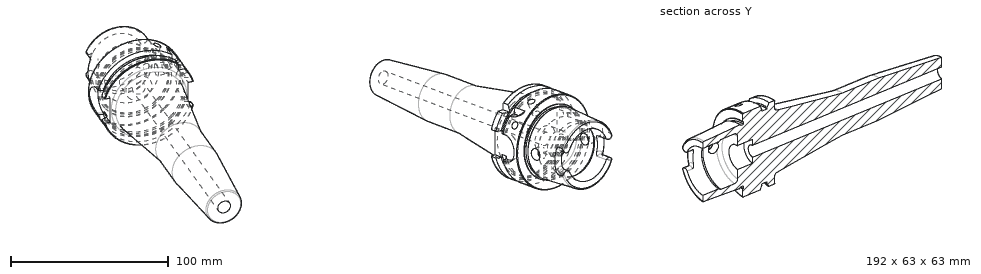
import cadquery as cq
import math


shank_end_x = -32.0
flange_end_x = 26.0
straight_start_x = 80.0
straight_end_x = 109.4
nose_end_x = 160.0

shank_gauge_radius = 24.1
shank_end_radius = 22.7
shank_edge_fillet = 0.9
relief_start_x = -2.3
relief_floor_x = -1.2
relief_radius = 23.2
face_groove_radius = 25.0
face_groove_depth = 0.6

flange_radius = 31.5
flange_edge_chamfer = 0.5
groove_floor_radius = 27.4
groove_knee_radius = 28.6
groove_start_x = 14.5
groove_floor_start_x = 15.7
groove_floor_end_x = 19.6
groove_end_x = 21.2

neck_radius = 23.5
neck_fillet = 2.1
straight_radius = 16.0
nose_tip_radius = 12.0
nose_edge_fillet = 0.8

mouth_radius = 17.4
mouth_end_x = -19.3
cavity_radius = 18.5
cavity_cone_angle = 30.0
cavity_floor_x = -4.0
cavity_floor_fillet = 2.5
seat_radius = 8.8
seat_depth = 12.0
bore_radius = 4.3
cross_hole_x = -9.0
cross_hole_radius = 3.85

drive_slot_half_width = 6.1
drive_slot_lip_radius = 2.85
drive_slot_lip_pitch_radius = 20.15
drive_slot_corner_fillet = 1.5
drive_slot_end_front_x = -22.1
drive_slot_end_back_x = -26.2
drive_slot_runout = 4.2
drive_slot_inner_y = 12.0

keyway_half_width = 9.0
keyway_end_x = 4.8
keyway_end_lean = 18.0
keyway_floor_y = 26.5

notch_wall_offset = 19.8
notch_cutter_radius = 8.0
notch_center_x = 12.7

balance_hole_x = 6.9
balance_hole_radius = 2.4
balance_hole_depth = 10.0
balance_hole_angles = (24.2, 59.0)

clearance = 10.0


def revolve_about_x(profile):
    return profile.close().revolve(360, (0, 0, 0), (1, 0, 0))


def outer_body():
    profile = (
        cq.Workplane("XY")
        .moveTo(shank_end_x, 0)
        .lineTo(shank_end_x, shank_end_radius)
        .lineTo(relief_start_x, shank_gauge_radius)
        .lineTo(relief_floor_x, relief_radius)
        .lineTo(face_groove_depth, relief_radius)
        .lineTo(face_groove_depth, face_groove_radius)
        .lineTo(0, face_groove_radius)
        .lineTo(0, flange_radius - flange_edge_chamfer)
        .lineTo(flange_edge_chamfer, flange_radius)
        .lineTo(groove_start_x, flange_radius)
        .lineTo(groove_floor_start_x, groove_knee_radius)
        .lineTo(groove_floor_start_x, groove_floor_radius)
        .lineTo(groove_floor_end_x, groove_floor_radius)
        .lineTo(groove_floor_end_x, groove_knee_radius)
        .lineTo(groove_end_x, flange_radius)
        .lineTo(flange_end_x - flange_edge_chamfer, flange_radius)
        .lineTo(flange_end_x, flange_radius - flange_edge_chamfer)
        .lineTo(flange_end_x, neck_radius + neck_fillet)
        .radiusArc((flange_end_x + neck_fillet, neck_radius), -neck_fillet)
        .lineTo(straight_start_x, straight_radius)
        .lineTo(straight_end_x, straight_radius)
        .lineTo(nose_end_x, nose_tip_radius)
        .lineTo(nose_end_x, 0)
    )
    body = revolve_about_x(profile)
    body = body.faces("<X").edges().fillet(shank_edge_fillet)
    return body.faces(">X").edges().fillet(nose_edge_fillet)


def inner_cavity():
    cone_length = (cavity_radius - mouth_radius) / math.tan(math.radians(cavity_cone_angle))
    floor_corner_radius = cavity_radius - cavity_floor_fillet
    profile = (
        cq.Workplane("XY")
        .moveTo(shank_end_x, 0)
        .lineTo(shank_end_x, mouth_radius)
        .lineTo(mouth_end_x, mouth_radius)
        .lineTo(mouth_end_x + cone_length, cavity_radius)
        .lineTo(cavity_floor_x - cavity_floor_fillet, cavity_radius)
        .radiusArc((cavity_floor_x, floor_corner_radius), cavity_floor_fillet)
        .lineTo(cavity_floor_x, seat_radius)
        .lineTo(cavity_floor_x + seat_depth, seat_radius)
        .lineTo(cavity_floor_x + seat_depth, bore_radius)
        .lineTo(nose_end_x, bore_radius)
        .lineTo(nose_end_x, 0)
    )
    return revolve_about_x(profile)


def cross_hole():
    return (
        cq.Workplane("XZ")
        .center(cross_hole_x, 0)
        .circle(cross_hole_radius)
        .extrude(flange_radius, both=True)
    )


def drive_slot(end_x):
    """Slot cutter on the +Y side; its flanks curl around the fully rounded lips of the wall."""
    lip_z = drive_slot_half_width + drive_slot_lip_radius
    lip_y = math.sqrt(drive_slot_lip_pitch_radius**2 - lip_z**2)
    radial_y = lip_y / drive_slot_lip_pitch_radius
    radial_z = lip_z / drive_slot_lip_pitch_radius

    def near_lip(outward, around):
        """Point offset from the lip centre along the radius and around the axis."""
        y = lip_y + outward * radial_y - around * radial_z
        z = lip_z + outward * radial_z + around * radial_y
        return y, z

    inner_tangent = near_lip(-drive_slot_lip_radius, 0)
    inner_end = (drive_slot_inner_y, inner_tangent[1])
    lip_tip = near_lip(0, -drive_slot_lip_radius)
    outer_tangent = near_lip(drive_slot_lip_radius, 0)
    outer_end = near_lip(drive_slot_lip_radius, drive_slot_runout)
    top_corner = (shank_gauge_radius + clearance, outer_end[1])

    def other_flank(point):
        return point[0], -point[1]

    cutter = (
        cq.Workplane("YZ", origin=(end_x, 0, 0))
        .moveTo(*inner_end)
        .lineTo(*inner_tangent)
        .threePointArc(lip_tip, outer_tangent)
        .lineTo(*outer_end)
        .lineTo(*top_corner)
        .lineTo(*other_flank(top_corner))
        .lineTo(*other_flank(outer_end))
        .lineTo(*other_flank(outer_tangent))
        .threePointArc(other_flank(lip_tip), other_flank(inner_tangent))
        .lineTo(*other_flank(inner_end))
        .close()
        .extrude(shank_end_x - clearance - end_x)
    )
    flank_edges = cutter.faces(">X").edges("not |Z")
    return flank_edges.fillet(drive_slot_corner_fillet)


def keyway():
    """Keyway cutter on the +Y side: flat floor, leaning round end, open towards the nose."""
    center_x = keyway_end_x + keyway_half_width
    height = flange_radius - keyway_floor_y + clearance
    top_y = keyway_floor_y + height
    lean_shift = height * math.tan(math.radians(keyway_end_lean))
    round_end = (
        cq.Workplane("XZ", origin=(center_x, keyway_floor_y, 0))
        .circle(keyway_half_width)
        .extrude(2 * height, both=True)
        .rotate((center_x, keyway_floor_y, 0), (center_x, keyway_floor_y, 1), keyway_end_lean)
    )
    channel = (
        cq.Workplane("XY")
        .moveTo(center_x, keyway_floor_y)
        .lineTo(flange_end_x, keyway_floor_y)
        .lineTo(flange_end_x, top_y)
        .lineTo(center_x - lean_shift, top_y)
        .close()
        .extrude(keyway_half_width, both=True)
    )
    above_floor = (
        cq.Workplane("XZ", origin=(center_x, keyway_floor_y, 0))
        .rect(2 * flange_radius, 2 * flange_radius)
        .extrude(-height)
    )
    return round_end.intersect(above_floor).union(channel)


def orientation_notch():
    center_z = notch_wall_offset + notch_cutter_radius
    length = flange_end_x - notch_center_x
    plane = cq.Workplane("XZ", origin=(notch_center_x, notch_wall_offset, center_z))
    round_end = plane.circle(notch_cutter_radius).extrude(-flange_radius)
    channel = plane.center(length / 2, 0).rect(length, 2 * notch_cutter_radius).extrude(-flange_radius)
    return round_end.union(channel)


def balance_hole(angle):
    """Blind radial hole, tilted by the angle from +Z towards +Y."""
    bottom = flange_radius - balance_hole_depth
    hole = (
        cq.Workplane("XY", origin=(balance_hole_x, 0, bottom))
        .circle(balance_hole_radius)
        .extrude(balance_hole_depth + clearance)
    )
    return hole.rotate((0, 0, 0), (1, 0, 0), -angle)


def opposite_side(cutter):
    return cutter.mirror("XZ")


result = outer_body().cut(inner_cavity()).cut(cross_hole())
result = result.cut(drive_slot(drive_slot_end_back_x))
result = result.cut(opposite_side(drive_slot(drive_slot_end_front_x)))
result = result.cut(keyway()).cut(opposite_side(keyway()))
result = result.cut(orientation_notch())
for hole_angle in balance_hole_angles:
    result = result.cut(balance_hole(hole_angle))